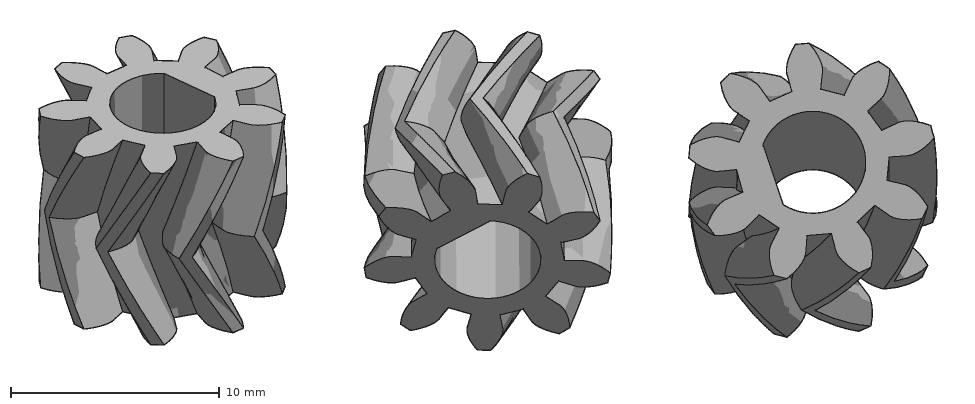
import cadquery as cq
import math

TOOTH_COUNT = 9
TIP_RADIUS = 5.965
BASE_RADIUS = 4.6
ROOT_RADIUS = 3.68
BASE_HALF_ANGLE = 10.85
FLANK_POINTS = 6
LENGTH = 10.0
TWIST = 26.9
BORE_RADIUS = 2.55
FLAT_DISTANCE = 2.0

HALF_LENGTH = LENGTH / 2
TOOTH_PITCH = 360 / TOOTH_COUNT


def polar(radius, angle):
    """Point at a radius and an angle in degrees."""
    radians = math.radians(angle)
    return (radius * math.cos(radians), radius * math.sin(radians))


def flank_half_angle(radius):
    """Half the angle spanned by a tooth at a radius on its involute flanks."""
    pressure_angle = math.acos(BASE_RADIUS / radius)
    involute = math.tan(pressure_angle) - pressure_angle
    return BASE_HALF_ANGLE - math.degrees(involute)


def tooth_outline():
    """Closed gear outline at mid-length, with flat tooth tips and one tooth centred on +X."""
    radius_step = (TIP_RADIUS - BASE_RADIUS) / (FLANK_POINTS - 1)
    radii = [BASE_RADIUS + i * radius_step for i in range(FLANK_POINTS)]
    outline = cq.Workplane("XY").moveTo(*polar(ROOT_RADIUS, -BASE_HALF_ANGLE))
    for tooth in range(TOOTH_COUNT):
        centre = tooth * TOOTH_PITCH
        rising = [polar(r, centre - flank_half_angle(r)) for r in radii]
        falling = [polar(r, centre + flank_half_angle(r)) for r in reversed(radii)]
        outline = outline.lineTo(*rising[0])
        outline = outline.spline(rising[1:], includeCurrent=True)
        outline = outline.lineTo(*falling[0])
        outline = outline.spline(falling[1:], includeCurrent=True)
        outline = outline.lineTo(*polar(ROOT_RADIUS, centre + BASE_HALF_ANGLE))
        if tooth < TOOTH_COUNT - 1:
            outline = outline.lineTo(*polar(ROOT_RADIUS, centre + TOOTH_PITCH - BASE_HALF_ANGLE))
    return outline.close()


def herringbone_body():
    """Two opposite helical halves that meet at mid-length, standing on Z = 0."""
    upper = tooth_outline().twistExtrude(HALF_LENGTH, TWIST)
    lower = upper.mirror("XY")
    return upper.union(lower).translate((0, 0, HALF_LENGTH))


def d_bore_cutter():
    """D-shaped prism: a cylinder cut off by a flat on its +Y side."""
    flat_half_width = math.sqrt(BORE_RADIUS**2 - FLAT_DISTANCE**2)
    return (
        cq.Workplane("XY")
        .moveTo(-flat_half_width, FLAT_DISTANCE)
        .threePointArc((0, -BORE_RADIUS), (flat_half_width, FLAT_DISTANCE))
        .close()
        .extrude(LENGTH)
    )


result = herringbone_body().cut(d_bore_cutter())